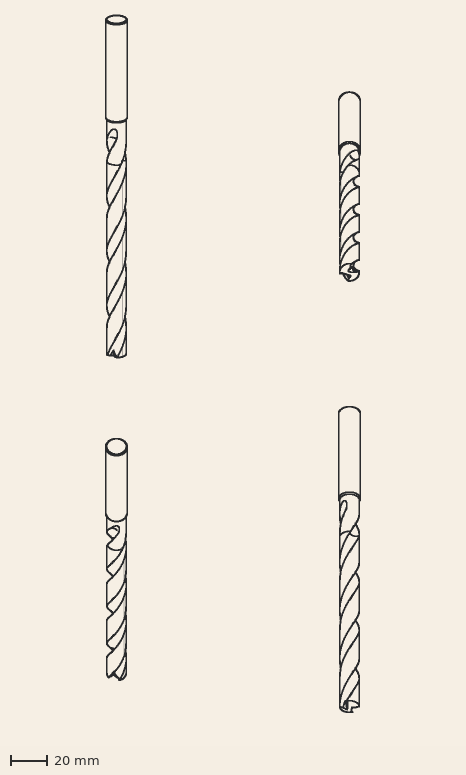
import cadquery as cq
import math

TOTAL_LENGTH = 205.0
SHANK_RADIUS = 6.05
SHANK_LENGTH = 59.5
SHANK_CHAMFER = 0.6
DRILL_RADIUS = 5.43
SHOULDER_HEIGHT = 1.0
JOINT_Z = 119.0
POINT_ANGLE = 140.0

FLUTE_COUNT = 2
FLUTE_PITCH = 66.5
FLUTE_RADIUS = 3.3
FLUTE_CENTER_RADIUS = 5.5
FLUTE_TOP_Z = 133.9
FLUTE_TOP_ANGLE = 286.0
RUNOUT_HEIGHT = 10.2
RUNOUT_SLOPE = 0.35

GASH_LEFT = -1.6
GASH_RIGHT = 2.5
GASH_WEB = 0.8
GASH_OUTER = 5.0
GASH_BACK_ANGLE = 17.0
GASH_HEIGHT = 6.2
GASH_LEAN = 25.0

SHANK_BOTTOM_Z = TOTAL_LENGTH - SHANK_LENGTH
NECK_TOP_Z = SHANK_BOTTOM_Z - SHOULDER_HEIGHT
POINT_HEIGHT = DRILL_RADIUS / math.tan(math.radians(POINT_ANGLE / 2))
FLUTE_SPACING = 360.0 / FLUTE_COUNT
AXIS_START = (0, 0, 0)
AXIS_END = (0, 0, 1)


def flute_angle(z):
    """Angle of the first flute's center line at height z."""
    return FLUTE_TOP_ANGLE + 360.0 * (z - FLUTE_TOP_Z) / FLUTE_PITCH


def flute_center(z):
    """Center of the first flute's round profile at height z."""
    angle = math.radians(flute_angle(z))
    return cq.Vector(FLUTE_CENTER_RADIUS * math.cos(angle), FLUTE_CENTER_RADIUS * math.sin(angle), z)


def flute_profile(z):
    """Round flute profile in the horizontal plane at height z."""
    return cq.Wire.makeCircle(FLUTE_RADIUS, flute_center(z), cq.Vector(*AXIS_END))


def helical_flute(bottom_z, top_z):
    """Right-handed cutter that follows one flute between two heights."""
    height = top_z - bottom_z
    center = flute_center(bottom_z)
    return (
        cq.Workplane("XY", origin=(0, 0, bottom_z))
        .moveTo(center.x, center.y)
        .circle(FLUTE_RADIUS)
        .twistExtrude(height, 360.0 * height / FLUTE_PITCH)
    )


def flute_runout():
    """Straight cutter that leaves the neck along the helix tangent, tilted outward."""
    angle = math.radians(FLUTE_TOP_ANGLE)
    sideways = 2 * math.pi * FLUTE_CENTER_RADIUS * RUNOUT_HEIGHT / FLUTE_PITCH
    outward = RUNOUT_SLOPE * RUNOUT_HEIGHT
    direction = cq.Vector(
        outward * math.cos(angle) - sideways * math.sin(angle),
        outward * math.sin(angle) + sideways * math.cos(angle),
        RUNOUT_HEIGHT,
    )
    return cq.Workplane(cq.Solid.extrudeLinear(flute_profile(FLUTE_TOP_Z), [], direction))


def point_gash():
    """Leaning cutter with a sloped back wall that thins the web at the point."""
    back_run = GASH_HEIGHT * math.tan(math.radians(GASH_BACK_ANGLE))
    return (
        cq.Workplane("YZ", origin=(GASH_LEFT, 0, 0))
        .polyline(
            [
                (-GASH_WEB, 0),
                (-GASH_WEB - back_run, GASH_HEIGHT),
                (-GASH_OUTER, GASH_HEIGHT),
                (-GASH_OUTER, 0),
            ]
        )
        .close()
        .extrude(GASH_RIGHT - GASH_LEFT)
        .rotate((GASH_LEFT, 0, 0), (GASH_LEFT, 1, 0), GASH_LEAN)
    )


def cut_around_axis(body, cutter):
    """Cut one copy of the cutter for each flute."""
    for index in range(FLUTE_COUNT):
        body = body.cut(cutter.rotate(AXIS_START, AXIS_END, index * FLUTE_SPACING))
    return body


def make_drill():
    blank = (
        cq.Workplane("XZ")
        .polyline([(0, 0), (DRILL_RADIUS, POINT_HEIGHT), (DRILL_RADIUS, JOINT_Z), (0, JOINT_Z)])
        .close()
        .revolve()
    )
    fluted = cut_around_axis(blank, helical_flute(0, JOINT_Z))
    return cut_around_axis(fluted, point_gash())


def make_holder():
    blank = (
        cq.Workplane("XZ")
        .moveTo(0, JOINT_Z)
        .lineTo(DRILL_RADIUS, JOINT_Z)
        .lineTo(DRILL_RADIUS, NECK_TOP_Z)
        .lineTo(SHANK_RADIUS, SHANK_BOTTOM_Z)
        .lineTo(SHANK_RADIUS, TOTAL_LENGTH - SHANK_CHAMFER)
        .lineTo(SHANK_RADIUS - SHANK_CHAMFER, TOTAL_LENGTH)
        .lineTo(0, TOTAL_LENGTH)
        .close()
        .revolve()
    )
    fluted = cut_around_axis(blank, helical_flute(JOINT_Z, FLUTE_TOP_Z))
    return cut_around_axis(fluted, flute_runout())


drill = make_drill()
holder = make_holder()
result = cq.Compound.makeCompound([drill.val(), holder.val()])